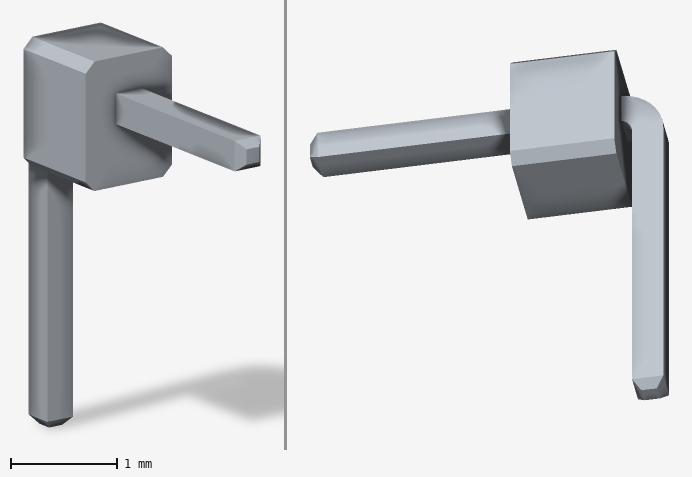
import cadquery as cq

total_length = 3.4
total_height = 3.94

body_length = 1.0
body_width = 1.0
body_height = 1.273
body_chamfer = 0.102
body_start = 0.4

pin_size = 0.3
pin_top_drop = 0.36
bend_outer_radius = 1.5 * pin_size
tip_length = 0.085
tip_inset = 0.075

pin_center_x = pin_size / 2
pin_center_z = total_height - pin_top_drop - pin_size / 2
bend_center_radius = bend_outer_radius - pin_size / 2
tip_size = pin_size - 2 * tip_inset


def make_body():
    """Block with its four lengthwise edges chamfered."""
    return (
        cq.Workplane("XY")
        .box(body_length, body_width, body_height, centered=(False, True, False))
        .edges("|X")
        .chamfer(body_chamfer)
        .translate((body_start, 0, total_height - body_height))
    )


def make_shank():
    """Square bar swept up the leg, around the bend and along the contact."""
    bend_start_z = pin_center_z - bend_center_radius
    bend_end_x = pin_center_x + bend_center_radius
    path = (
        cq.Workplane("XZ")
        .moveTo(pin_center_x, tip_length)
        .lineTo(pin_center_x, bend_start_z)
        .tangentArcPoint((bend_end_x, pin_center_z), relative=False)
        .lineTo(total_length - tip_length, pin_center_z)
    )
    return (
        cq.Workplane("XY", origin=(pin_center_x, 0, tip_length))
        .rect(pin_size, pin_size)
        .sweep(path)
    )


def make_tip(base_plane):
    """Pyramid frustum growing along the normal of the given plane."""
    return (
        cq.Workplane(base_plane)
        .rect(pin_size, pin_size)
        .workplane(offset=tip_length)
        .rect(tip_size, tip_size)
        .loft(combine=True)
    )


leg_tip_plane = cq.Plane(origin=(pin_center_x, 0, tip_length), xDir=(1, 0, 0), normal=(0, 0, -1))
contact_tip_plane = cq.Plane(
    origin=(total_length - tip_length, 0, pin_center_z), xDir=(0, 1, 0), normal=(1, 0, 0)
)

result = make_body().union(make_shank())
for tip_plane in (leg_tip_plane, contact_tip_plane):
    result = result.union(make_tip(tip_plane))